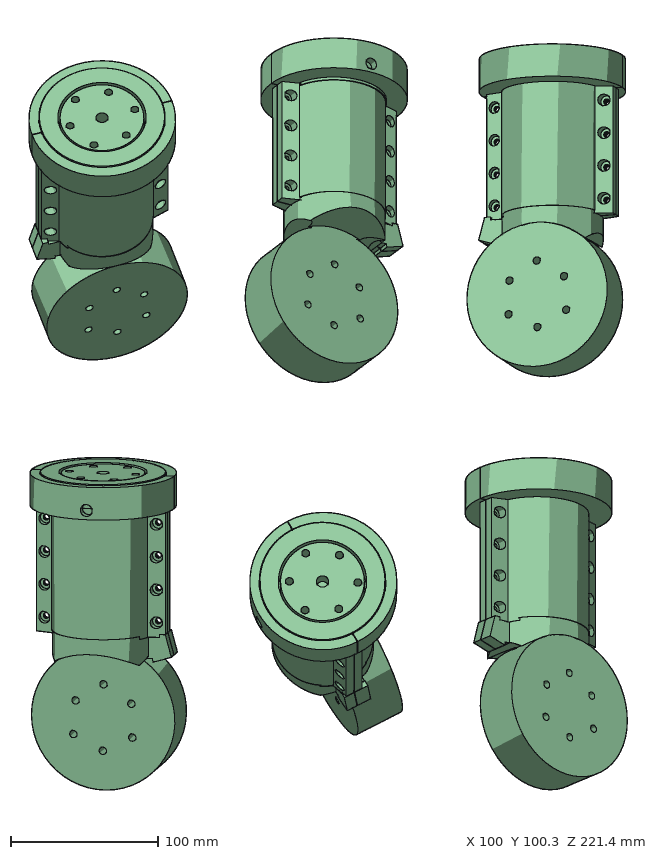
import cadquery as cq


TOTAL_HEIGHT = 221.4
LID_RISE = 0.7
HEAD_HEIGHT = 22.5
LIP_HEIGHT = 2.0
TUBE_BOTTOM = 111.8
TONGUE_DEPTH = 2.0
HEAD_TOP = TOTAL_HEIGHT - LID_RISE
HEAD_BOTTOM = HEAD_TOP - HEAD_HEIGHT
FLANGE_BOTTOM = TUBE_BOTTOM - TONGUE_DEPTH

SEAM_HALF_GAP = 0.2
HEAD_RADIUS = 49.8
HEAD_OFFSET = 0.7
HEAD_SPREAD = 0.2
TUBE_RADIUS = 35.2
TUBE_OFFSET = 0.9
LIP_RADIUS = TUBE_RADIUS + 0.7
TURNTABLE_BORE = 86.1
TURNTABLE_FLOOR = 204.5
CABLE_HOLE = 8.2

FLANGE_ROOT_Y = 29.7
FLANGE_TIP_Y = 45.2
FLANGE_ROOT_X = 11.0
FLANGE_TIP_X = 6.2

SCREW_HOLE = 4.0
SCREW_HEAD = 8.0
SCREW_SEAT_X = 2.2
SCREW_Y = 39.2
SCREW_TOP_Z = 188.4
SCREW_PITCH = 22.8
SCREW_ROWS = 4

COVER_OUTER = 85.0
COVER_INNER = 60.0
PLATE_DIAMETER = 57.0
PLATE_HOLE = 5.3
SHAFT_HOLE = 8.2
SHAFT_HOLE_DEPTH = 11.0
BOLT_POINTS = [(-0.2, 23.5), (19.3, 11.3), (20.8, -12.2), (0.2, -22.8), (-20.4, -12.6), (-19.7, 10.8)]

DRUM_RADIUS = 50.15
DRUM_LEFT = SEAM_HALF_GAP
DRUM_RIGHT = 34.8
DRUM_HOLE = 5.0
COLLAR_RADIUS = 34.5
COLLAR_OFFSET = DRUM_RIGHT - COLLAR_RADIUS
DRUM_CLEARANCE = 0.9
ARCH_RADIUS = 32.0
ARCH_TOP = 97.0
TONGUE_HALF_WIDTH = 18.2
TONGUE_OUTER_Y = 41.2

LATCH_LEFT = -7.7
LATCH_RIGHT = 10.5
LATCH_PROFILE = [
    (-FLANGE_ROOT_Y, TUBE_BOTTOM),
    (-45.4, TUBE_BOTTOM),
    (-49.5, 96.3),
    (-36.7, 92.3),
    (-36.3, 94.7),
    (-32.8, 94.7),
    (-FLANGE_ROOT_Y, ARCH_TOP),
]

SPAN = 2 * TOTAL_HEIGHT


def cylinder(radius, bottom, top, center_x=0.0):
    """Upright cylinder centred on Y = 0."""
    return cq.Workplane("XY", origin=(center_x, 0, bottom)).circle(radius).extrude(top - bottom)


def box(x_range, y_range, z_range):
    """Box given by its limits along each axis."""
    size = [high - low for low, high in (x_range, y_range, z_range)]
    corner = (x_range[0], y_range[0], z_range[0])
    return cq.Workplane("XY").box(*size, centered=False).translate(corner)


def x_rods(points, diameter, start, end):
    """Rods along X at the given (y, z) points."""
    plane = cq.Workplane("YZ", origin=(start, 0, 0))
    return plane.pushPoints(points).circle(diameter / 2).extrude(end - start)


def flange(y_side):
    """Tapered flange of both housing halves, on the +Y or -Y side."""
    outline = [
        (-FLANGE_ROOT_X, y_side * FLANGE_ROOT_Y),
        (-FLANGE_TIP_X, y_side * FLANGE_TIP_Y),
        (FLANGE_TIP_X, y_side * FLANGE_TIP_Y),
        (FLANGE_ROOT_X, y_side * FLANGE_ROOT_Y),
    ]
    plane = cq.Workplane("XY", origin=(0, 0, FLANGE_BOTTOM))
    return plane.polyline(outline).close().extrude(HEAD_BOTTOM - FLANGE_BOTTOM)


def tongue_zone():
    """Shallow space in the top of the elbow bracket that the housing sinks into."""
    return box(
        (-TONGUE_HALF_WIDTH, TONGUE_HALF_WIDTH),
        (-TONGUE_OUTER_Y, -FLANGE_ROOT_Y),
        (FLANGE_BOTTOM, TUBE_BOTTOM),
    )


def half_space(x_side):
    """Everything on one side of the seam."""
    limits = sorted((x_side * SEAM_HALF_GAP, x_side * SPAN))
    return box(limits, (-SPAN, SPAN), (-SPAN, SPAN))


def housing_half(x_side):
    """Half of the clamshell: head, tube, tongue, flanges and screw holes."""
    head_center = HEAD_OFFSET + x_side * HEAD_SPREAD
    tube_center = -x_side * TUBE_OFFSET
    head = cylinder(HEAD_RADIUS, HEAD_BOTTOM, HEAD_TOP, head_center)
    tube = cylinder(TUBE_RADIUS, TUBE_BOTTOM, HEAD_BOTTOM, tube_center)
    tongue = cylinder(TUBE_RADIUS, FLANGE_BOTTOM, TUBE_BOTTOM, tube_center).intersect(tongue_zone())
    body = head.union(tube).union(tongue).union(flange(1)).union(flange(-1))

    rim = box((-SPAN, SPAN), (-SPAN, -TONGUE_OUTER_Y), (FLANGE_BOTTOM, TUBE_BOTTOM))
    body = body.cut(rim)

    body = body.cut(cylinder(TURNTABLE_BORE / 2, TURNTABLE_FLOOR, TOTAL_HEIGHT))

    screw_points = [
        (y_side * SCREW_Y, SCREW_TOP_Z - row * SCREW_PITCH)
        for y_side in (-1, 1)
        for row in range(SCREW_ROWS)
    ]
    body = body.cut(x_rods(screw_points, SCREW_HOLE, -FLANGE_ROOT_X, FLANGE_ROOT_X))
    seat_limits = sorted((x_side * SCREW_SEAT_X, x_side * FLANGE_ROOT_X))
    body = body.cut(x_rods(screw_points, SCREW_HEAD, *seat_limits))
    return body.intersect(half_space(x_side))


def left_housing_half():
    """The -X half also has a lip under the head and a cable hole through the head wall."""
    lip = cylinder(LIP_RADIUS, HEAD_BOTTOM - LIP_HEIGHT, HEAD_BOTTOM, TUBE_OFFSET)
    lip = lip.intersect(box((-SPAN, -FLANGE_ROOT_X), (-SPAN, SPAN), (0, SPAN)))
    hole = x_rods([(0, TURNTABLE_FLOOR)], CABLE_HOLE, -SPAN, -TURNTABLE_BORE / 2)
    return housing_half(-1).union(lip).cut(hole)


def cover_ring():
    """Raised ring around the drive plate."""
    outer = cylinder(COVER_OUTER / 2, TURNTABLE_FLOOR, TOTAL_HEIGHT)
    return outer.cut(cylinder(COVER_INNER / 2, TURNTABLE_FLOOR, TOTAL_HEIGHT))


def drive_plate():
    """Round plate with through bolt holes and a blind shaft hole."""
    plate = cylinder(PLATE_DIAMETER / 2, TURNTABLE_FLOOR, HEAD_TOP)
    plate = plate.faces(">Z").workplane(origin=(0, 0, HEAD_TOP)).pushPoints(BOLT_POINTS).hole(PLATE_HOLE)
    return plate.cut(cylinder(SHAFT_HOLE / 2, HEAD_TOP - SHAFT_HOLE_DEPTH, HEAD_TOP))


def collar():
    """Short tube stub whose foot is hollowed by the drum along X and by an arch along Y."""
    stub = cylinder(COLLAR_RADIUS, DRUM_RADIUS, TUBE_BOTTOM, COLLAR_OFFSET)
    drum_axis = [(0, DRUM_RADIUS)]
    clearance = x_rods(drum_axis, 2 * (DRUM_RADIUS + DRUM_CLEARANCE), -SPAN, DRUM_LEFT)
    seat = x_rods(drum_axis, 2 * DRUM_RADIUS, DRUM_LEFT, SPAN)
    arch = (
        cq.Workplane("XZ", origin=(0, SPAN, 0))
        .center(0, ARCH_TOP - ARCH_RADIUS)
        .circle(ARCH_RADIUS)
        .extrude(2 * SPAN)
    )
    return stub.cut(clearance).cut(seat).cut(arch)


def latch_block():
    """Block beside the collar, slit along the housing seam."""
    block = (
        cq.Workplane("YZ", origin=(LATCH_LEFT, 0, 0))
        .polyline(LATCH_PROFILE)
        .close()
        .extrude(LATCH_RIGHT - LATCH_LEFT)
    )
    slit = box((-SEAM_HALF_GAP, SEAM_HALF_GAP), (-SPAN, -COLLAR_RADIUS), (0, TUBE_BOTTOM))
    return block.cut(slit)


def elbow_bracket():
    """Motor drum, collar and latch block, with seats for the housing on top."""
    drum = x_rods([(0, DRUM_RADIUS)], 2 * DRUM_RADIUS, DRUM_LEFT, DRUM_RIGHT)
    drum_bolts = [(y, DRUM_RADIUS + z) for y, z in BOLT_POINTS]
    drum = drum.cut(x_rods(drum_bolts, DRUM_HOLE, DRUM_LEFT, DRUM_RIGHT))
    bracket = drum.union(collar()).union(latch_block())
    return bracket.cut(tongue_zone()).cut(flange(1))


housing_left = left_housing_half()
housing_right = housing_half(1)
cover = cover_ring()
plate = drive_plate()
elbow = elbow_bracket()

result = cq.Compound.makeCompound(
    [housing_left.val(), housing_right.val(), cover.val(), plate.val(), elbow.val()]
)